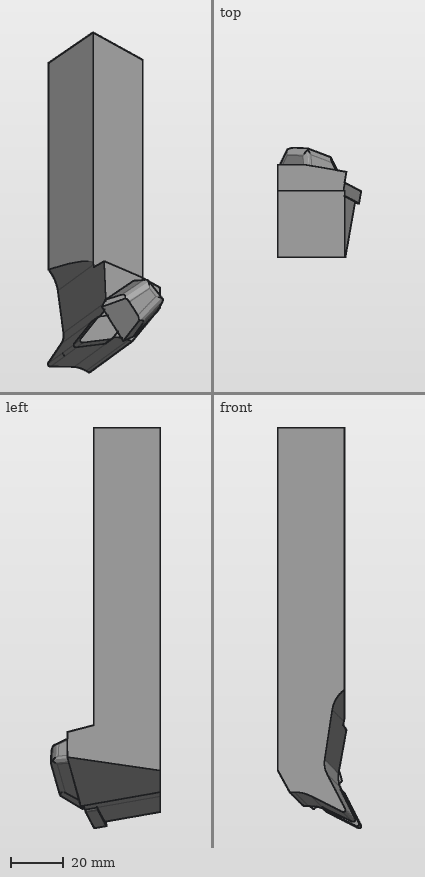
import math

import cadquery as cq

TOTAL_WIDTH = 31.79
TOTAL_LENGTH = 152.4
SHANK = 25.4
BEYOND = 200.0

HEAD_DEPTH = 35.35
HEAD_WIDTH = 35.0
SHOULDER_TOP = 39.3
SHOULDER_EDGE = 36.7

SEAT_TILT = 14.0
LEAN = math.tan(math.radians(SEAT_TILT)) / math.sqrt(2)
SEAT_NORMAL = cq.Vector(LEAN, 1, -LEAN)

INSERT_ANGLE = 35.0
INSCRIBED_CIRCLE = 9.525
INSERT_THICKNESS = 4.76
NOSE_RADIUS = 0.8
NOSE_DEPTH = 25.3
NOSE_CENTER = cq.Vector(TOTAL_WIDTH - NOSE_RADIUS, NOSE_DEPTH, NOSE_RADIUS)

NOTCH_MOUTH = (40.0, 60.4)
NOTCH_TOP = (21.6, 50.9)
NOTCH_ROOT = (17.4, 23.3)
HOOK_TIP = (26.82, 5.18)
HEEL_INNER = (9.7, 13.8)
HEEL_OUTER = (4.5, 13.8)
HEEL_SIDE = (0.0, 22.0)
NOTCH_TOP_RADIUS = 11.5
NOTCH_ROOT_RADIUS = 9.0
HOOK_TIP_RADIUS = 0.8
HEEL_RADIUS = 14.0
OUTLINE_MARGIN = 10.0

CLAMP_MIDDLE_DEPTH = 38.4
CLAMP_HEIGHT = 8.05
CLAMP_AXIS = -54.0
CLAMP_SIDE_DRAFT = 19.0
CLAMP_NOSE_DRAFT = 25.0
CLAMP_CORNER_RADIUS = 2.3
CLAMP_TOP_RADIUS = 4.2
CLAMP_BACK_POINT = (6.6, 30.1)
CLAMP_SIDES = [
    (CLAMP_BACK_POINT, CLAMP_AXIS + 180),
    ((11.4, 33.4), CLAMP_AXIS + 90),
    ((1.6, 26.2), CLAMP_AXIS - 90),
]
CLAMP_NOSE = [
    ((19.6, 22.0), 10.0),
    ((15.6, 15.0), CLAMP_AXIS + 9),
    ((9.7, 14.9), CLAMP_AXIS - 70),
]
CLAMP_BLOCK_WIDTH = 50.0
CLAMP_BLOCK_DEPTH = 20.0
CLAMP_BLOCK_START = (-20.0, SHANK, 0.0)


def below_seat(height):
    """Everything on the -Y side of the seat face after raising it by height along Y."""
    plane = cq.Plane(
        origin=(NOSE_CENTER + cq.Vector(0, height, 0)).toTuple(),
        normal=SEAT_NORMAL.toTuple(),
    )
    return cq.Workplane(plane).rect(2 * BEYOND, 2 * BEYOND).extrude(-BEYOND)


def make_insert():
    half_angle = math.radians(INSERT_ANGLE / 2)
    half_length = INSCRIBED_CIRCLE / 2 / math.sin(half_angle)
    half_width = INSCRIBED_CIRCLE / 2 / math.cos(half_angle)
    sharp_tip = -NOSE_RADIUS / math.sin(half_angle)
    middle = sharp_tip + half_length
    rhombus = [(sharp_tip, 0), (middle, half_width), (middle + half_length, 0), (middle, -half_width)]
    seat = cq.Plane(
        origin=NOSE_CENTER.toTuple(),
        xDir=(-1, 2 * LEAN, 1),
        normal=SEAT_NORMAL.toTuple(),
    )
    return (
        cq.Workplane(seat)
        .polyline(rhombus)
        .close()
        .extrude(-INSERT_THICKNESS)
        .edges(cq.selectors.ParallelDirSelector(SEAT_NORMAL))
        .fillet(NOSE_RADIUS)
    )


def head_envelope():
    """Oblique prism: the head outline swept along the seat normal."""
    heel_slope = (HEEL_SIDE[1] - HEEL_OUTER[1]) / (HEEL_OUTER[0] - HEEL_SIDE[0])
    outline = [
        (-OUTLINE_MARGIN, 2 * TOTAL_LENGTH),
        (NOTCH_MOUTH[0], 2 * TOTAL_LENGTH),
        NOTCH_MOUTH,
        NOTCH_TOP,
        NOTCH_ROOT,
        HOOK_TIP,
        HEEL_INNER,
        HEEL_OUTER,
        (-OUTLINE_MARGIN, HEEL_SIDE[1] + OUTLINE_MARGIN * heel_slope),
    ]
    rounded_corners = [
        (NOTCH_TOP, NOTCH_TOP_RADIUS),
        (NOTCH_ROOT, NOTCH_ROOT_RADIUS),
        (HOOK_TIP, HOOK_TIP_RADIUS),
        (HEEL_INNER, HEEL_RADIUS),
    ]
    wire = cq.Wire.makePolygon([cq.Vector(x, 0, z) for x, z in outline], close=True)
    for (x, z), radius in rounded_corners:
        corner = min(wire.Vertices(), key=lambda vertex: math.hypot(vertex.X - x, vertex.Z - z))
        wire = wire.fillet2D(radius, [corner])
    return cq.Workplane(cq.Solid.extrudeLinear(wire, [], SEAT_NORMAL * (2 * HEAD_DEPTH)))


def beyond_wall(point, facing, draft):
    """Everything outside one drafted clamp wall."""
    turn = math.radians(facing)
    rise = math.radians(draft)
    outward = (math.cos(turn) * math.cos(rise), math.sin(rise), math.sin(turn) * math.cos(rise))
    plane = cq.Plane(origin=(point[0], CLAMP_MIDDLE_DEPTH, point[1]), normal=outward)
    return cq.Workplane(plane).rect(2 * BEYOND, 2 * BEYOND).extrude(BEYOND)


def make_clamp():
    block = (
        cq.Workplane()
        .box(CLAMP_BLOCK_WIDTH, CLAMP_BLOCK_DEPTH, CLAMP_BLOCK_WIDTH, centered=False)
        .translate(CLAMP_BLOCK_START)
    )
    for point, facing in CLAMP_SIDES:
        block = block.cut(beyond_wall(point, facing, CLAMP_SIDE_DRAFT))

    back_middle = (CLAMP_BACK_POINT[0], CLAMP_MIDDLE_DEPTH, CLAMP_BACK_POINT[1])
    back_edges = block.faces(cq.selectors.NearestToPointSelector(back_middle)).edges()
    corners = back_edges.filter(lambda edge: abs(edge.endPoint().y - edge.startPoint().y) > 1)
    rounded_block = corners.fillet(CLAMP_CORNER_RADIUS)

    pad = block.intersect(below_seat(CLAMP_HEIGHT))
    top_edges = pad.faces(cq.selectors.ParallelDirSelector(SEAT_NORMAL)).edges()
    rim = top_edges.sort(lambda edge: edge.Center().x - edge.Center().z)[:3]
    pad = rim.fillet(CLAMP_TOP_RADIUS).intersect(rounded_block)

    for point, facing in CLAMP_NOSE:
        pad = pad.cut(beyond_wall(point, facing, CLAMP_NOSE_DRAFT))
    return pad


def make_holder():
    shank = cq.Workplane().box(SHANK, SHANK, TOTAL_LENGTH, centered=False)
    side = [
        (0, 0),
        (HEAD_DEPTH, 0),
        (HEAD_DEPTH, SHOULDER_EDGE),
        (SHANK, SHOULDER_TOP),
        (0, SHOULDER_TOP),
    ]
    head = cq.Workplane("YZ").polyline(side).close().extrude(HEAD_WIDTH)
    body = shank.union(head).intersect(head_envelope()).intersect(below_seat(0))

    under_clamp = below_seat(0).intersect(
        cq.Workplane("XZ").rect(2 * BEYOND, 2 * BEYOND).extrude(BEYOND).translate((0, HEAD_DEPTH, 0))
    )
    clamp = make_clamp().cut(under_clamp)
    return body.union(clamp)


insert = make_insert()
holder = make_holder().cut(insert)

result = cq.Compound.makeCompound([*holder.solids().vals(), *insert.solids().vals()])